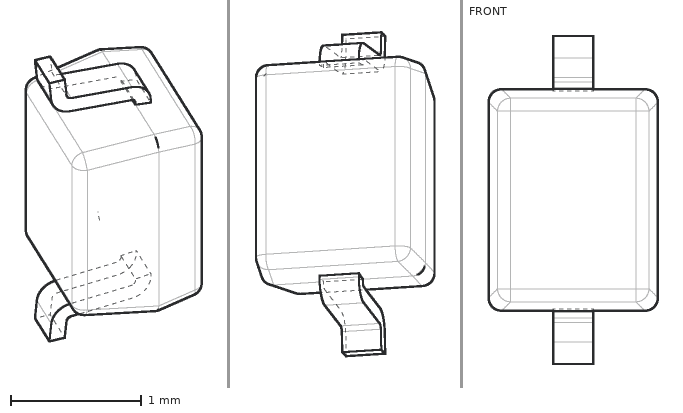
import cadquery as cq
import math

HOUSING_WIDTH = 1.3
HOUSING_HEIGHT = 1.7
BACK_DEPTH = 0.4
FRONT_DEPTH = 0.65
BACK_DRAFT = 7.0
FRONT_DRAFT = 7.0
HOUSING_ROUND = 0.1

LEAD_WIDTH = 0.31
LEAD_THICKNESS = 0.125
LEAD_TILT = 4.0
BEND_INNER_RADIUS = 0.04
BEND_OUTER_RADIUS = BEND_INNER_RADIUS + LEAD_THICKNESS
LEAD_TIP_Z = 1.26
FOOT_TIP_Y = -0.708
ARM_LEVEL = 1.028


def make_housing_half(depth, draft, side):
    """Tapered, rounded half on one side of the parting plane (+1 back, -1 front)."""
    plane = cq.Plane(origin=(0, 0, 0), xDir=(1, 0, 0), normal=(0, side, 0))
    half = cq.Workplane(plane).rect(HOUSING_WIDTH, HOUSING_HEIGHT).extrude(depth, taper=draft)
    parting_face = "<Y" if side > 0 else ">Y"
    parting_edges = half.faces(parting_face).edges()
    rounded_edges = half.edges().newObject(
        [edge for edge in half.edges().vals() if not any(edge.isSame(p) for p in parting_edges.vals())]
    )
    return rounded_edges.fillet(HOUSING_ROUND)


def make_housing():
    back = make_housing_half(BACK_DEPTH, BACK_DRAFT, 1)
    front = make_housing_half(FRONT_DEPTH, FRONT_DRAFT, -1)
    return back.union(front)


def make_upper_lead(housing):
    """Bent strip that rises from the top wall and ends flush against the housing."""
    slope = math.tan(math.radians(LEAD_TILT))
    slanted_thickness = LEAD_THICKNESS / math.cos(math.radians(LEAD_TILT))

    def arm_point(y, level):
        return (y, level - slope * y)

    def arm_foot_corner(tip_y, level):
        """Where a face of the arm meets the face of the foot that ends at tip_y."""
        foot_base_y = tip_y + slope * (LEAD_TIP_Z - level)
        return arm_point(foot_base_y / (1 + slope**2), level)

    inner_level = ARM_LEVEL - slanted_thickness
    foot_inner_tip_y = FOOT_TIP_Y + slanted_thickness
    stem_base_z = HOUSING_HEIGHT / 2 - HOUSING_ROUND

    stem_outer_corner = arm_point(LEAD_THICKNESS, ARM_LEVEL)
    stem_inner_corner = arm_point(0, inner_level)
    foot_inner_corner = arm_foot_corner(foot_inner_tip_y, ARM_LEVEL)
    foot_outer_corner = arm_foot_corner(FOOT_TIP_Y, inner_level)
    outline = [
        (LEAD_THICKNESS, stem_base_z),
        stem_outer_corner,
        foot_inner_corner,
        (foot_inner_tip_y, LEAD_TIP_Z),
        (FOOT_TIP_Y, LEAD_TIP_Z),
        foot_outer_corner,
        stem_inner_corner,
        (0, stem_base_z),
    ]
    strip = cq.Workplane("YZ").polyline(outline).close().extrude(LEAD_WIDTH / 2, both=True)

    bends = [
        (stem_outer_corner, BEND_OUTER_RADIUS),
        (stem_inner_corner, BEND_INNER_RADIUS),
        (foot_outer_corner, BEND_OUTER_RADIUS),
        (foot_inner_corner, BEND_INNER_RADIUS),
    ]
    for (y, z), radius in bends:
        strip = strip.edges("|X").edges(cq.NearestToPointSelector((0, y, z))).fillet(radius)
    return strip.cut(housing)


housing = make_housing()
upper_lead = make_upper_lead(housing)
lower_lead = upper_lead.mirror("XY")
result = cq.Compound.makeCompound([housing.val(), upper_lead.val(), lower_lead.val()])